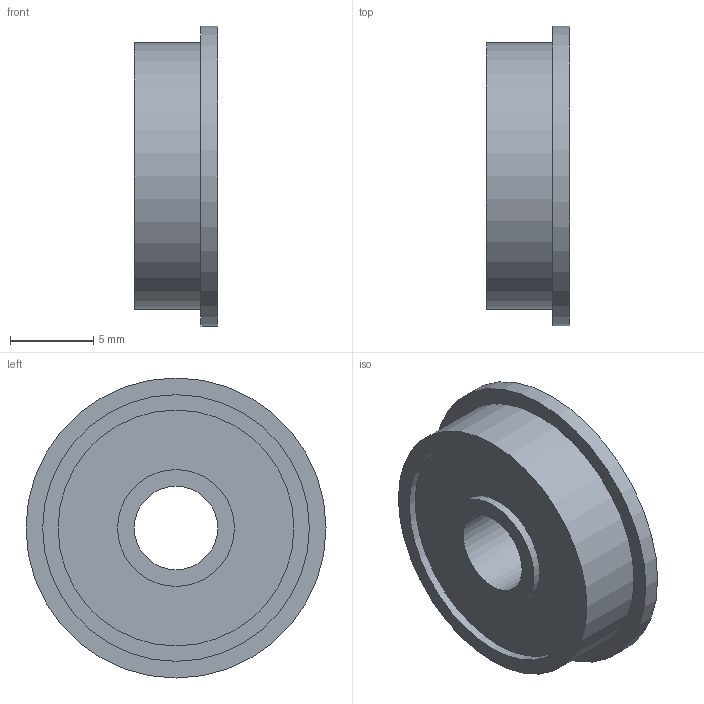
import cadquery as cq

width = 5.0
bore_diameter = 5.0
inner_ring_diameter = 7.01
outer_ring_inner_diameter = 14.15
body_diameter = 16.0
flange_diameter = 18.0
flange_thickness = 1.0
recess_depth = 0.5


def disc(diameter, start_x, length):
    """Solid disc centred on the X axis, running from start_x toward +X."""
    return cq.Workplane("YZ", origin=(start_x, 0, 0)).circle(diameter / 2).extrude(length)


def face_recess():
    """Annular recess between the inner and outer rings on the -X face."""
    return disc(outer_ring_inner_diameter, 0, recess_depth).cut(disc(inner_ring_diameter, 0, recess_depth))


body = disc(body_diameter, 0, width)
flange = disc(flange_diameter, width - flange_thickness, flange_thickness)
bore = disc(bore_diameter, 0, width)

result = body.union(flange).cut(bore).cut(face_recess())